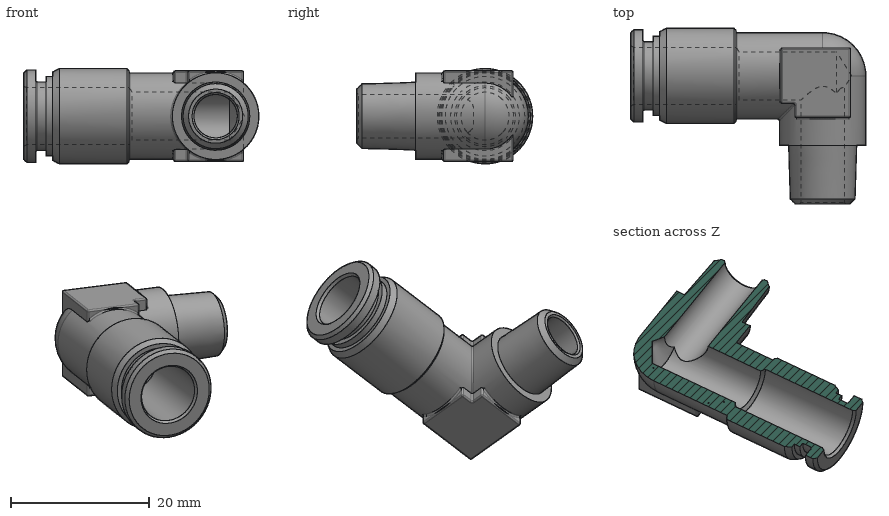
import cadquery as cq
import math


overall_length = 33.95
leg_radius = 6.25
elbow_x = overall_length - leg_radius
edge_radius = 0.25

collar_radius = 6.7
collar_length = 1.75
collar_chamfer_length = 0.48
collar_chamfer_depth = 0.48
neck_radius = 4.95
ring_radius = 5.75
ring_start = 3.25

sleeve_radius = 6.9
sleeve_start = 4.2
sleeve_end = 15.25
sleeve_lead_length = 0.95
sleeve_lead_depth = 0.5
sleeve_end_chamfer = 0.35
sleeve_root_radius = 0.15

total_width = 25.4
spigot_end = total_width - sleeve_radius
leg_end = 10.0
spigot_base_radius = 4.92
spigot_tip_radius = 4.7
spigot_chamfer = 0.78

tube_radius = 4.1
tube_depth = sleeve_end
mouth_chamfer_length = 0.45
mouth_chamfer_depth = 0.27
run_bore_radius = 3.45
run_bore_end = elbow_x + 2.0
drill_half_angle = math.radians(58)
spigot_bore_radius = 3.12
spigot_mouth_chamfer = 0.27

pad_height = 6.55
pad_notch = 4.0
pad_far = 4.05
pad_long = 6.0


def revolve_about_x(points):
    """Solid of revolution about the X axis from (x, radius) points."""
    return cq.Workplane("XY").polyline(points).close().revolve(360, (0, 0, 0), (1, 0, 0))


def revolve_about_spigot(points):
    """Solid of revolution about the spigot axis from (distance towards -Y, radius) points."""
    placed = [(elbow_x + radius, -distance) for distance, radius in points]
    return cq.Workplane("XY").polyline(placed).close().revolve(360, (elbow_x, 0, 0), (elbow_x, 1, 0))


def mirrored(shape):
    """The shape joined with its mirror image across the diagonal between the two legs."""
    turned = (
        shape.translate((-elbow_x, 0, 0))
        .rotate((0, 0, 0), (1, 1, 0), 180)
        .translate((elbow_x, 0, 0))
    )
    return shape.union(turned)


def make_elbow():
    """Two equal legs crossing at a right angle, closed by a ball at the outer corner."""
    run = revolve_about_x([
        (sleeve_end, 0), (sleeve_end, leg_radius), (elbow_x, leg_radius), (elbow_x, 0),
    ])
    branch = revolve_about_spigot([
        (0, 0), (0, leg_radius), (leg_end, leg_radius), (leg_end, 0),
    ])
    ball = cq.Workplane("XY").sphere(leg_radius).translate((elbow_x, 0, 0))
    return run.union(branch).union(ball)


def make_pads():
    """Both notched pads, as one block through the elbow with rounded edges."""
    outline = [
        (-pad_long, pad_far), (pad_far, pad_far), (pad_far, -pad_long),
        (-pad_notch, -pad_long), (-pad_notch, -pad_notch), (-pad_long, -pad_notch),
    ]
    block = cq.Workplane("XY").polyline(outline).close().extrude(pad_height, both=True)
    return block.edges("|Z").fillet(edge_radius).translate((elbow_x, 0, 0))


def make_pad_roots():
    """Concave rounds where the two outer pad faces stand on the legs."""
    pad_face = elbow_x - pad_long
    root_top = leg_radius + edge_radius
    ring = (
        cq.Workplane("XY")
        .moveTo(pad_face - edge_radius, leg_radius)
        .radiusArc((pad_face, root_top), -edge_radius)
        .lineTo(pad_face, leg_radius - edge_radius)
        .lineTo(pad_face - edge_radius, leg_radius - edge_radius)
        .close()
        .revolve(360, (0, 0, 0), (1, 0, 0))
    )
    root_width = 2 * (pad_notch - edge_radius)
    straight_part = cq.Workplane("XY").box(2 * elbow_x, root_width, 2 * root_top)
    return mirrored(ring.intersect(straight_part))


def make_elbow_with_pads():
    """Elbow and pads, with the sharp inner corner and the pad tops rounded."""
    body = make_elbow().union(make_pads())
    body = body.edges("%ELLIPSE").fillet(edge_radius)
    body = body.faces("<Z or >Z").edges().fillet(edge_radius)
    return body.union(make_pad_roots())


def make_socket():
    """Sleeve, ring, neck and release collar of the tube socket, as one turned solid."""
    sleeve_end_radius = sleeve_radius - sleeve_end_chamfer
    profile = (
        cq.Workplane("XY")
        .moveTo(0, 0)
        .lineTo(0, collar_radius - collar_chamfer_depth)
        .lineTo(collar_chamfer_length, collar_radius)
        .lineTo(collar_length, collar_radius)
        .lineTo(collar_length, neck_radius + edge_radius)
        .radiusArc((collar_length + edge_radius, neck_radius), -edge_radius)
        .lineTo(ring_start, neck_radius)
        .lineTo(ring_start, ring_radius)
        .lineTo(sleeve_start, ring_radius)
        .lineTo(sleeve_start, sleeve_radius - sleeve_lead_depth)
        .lineTo(sleeve_start + sleeve_lead_length, sleeve_radius)
        .lineTo(sleeve_end - sleeve_end_chamfer, sleeve_radius)
        .lineTo(sleeve_end, sleeve_end_radius)
        .lineTo(sleeve_end, leg_radius + sleeve_root_radius)
        .radiusArc((sleeve_end + sleeve_root_radius, leg_radius), -sleeve_root_radius)
        .lineTo(sleeve_end + sleeve_root_radius, 0)
        .close()
    )
    return profile.revolve(360, (0, 0, 0), (1, 0, 0))


def make_spigot():
    """Slightly tapered spigot with a chamfered tip."""
    return revolve_about_spigot([
        (0, 0),
        (0, spigot_base_radius),
        (leg_end, spigot_base_radius),
        (spigot_end - spigot_chamfer, spigot_tip_radius),
        (spigot_end, spigot_tip_radius - spigot_chamfer),
        (spigot_end, 0),
    ])


def make_run_bore():
    """Tube bore with a chamfered mouth, then a narrower bore ending in a drill point."""
    shoulder_length = (tube_radius - run_bore_radius) / math.tan(drill_half_angle)
    point_length = run_bore_radius / math.tan(drill_half_angle)
    return revolve_about_x([
        (0, 0),
        (0, tube_radius + mouth_chamfer_depth),
        (mouth_chamfer_length, tube_radius),
        (tube_depth, tube_radius),
        (tube_depth + shoulder_length, run_bore_radius),
        (run_bore_end, run_bore_radius),
        (run_bore_end + point_length, 0),
    ])


def make_spigot_bore():
    """Straight bore from the spigot tip to the run bore, with a chamfered mouth."""
    return revolve_about_spigot([
        (0, 0),
        (0, spigot_bore_radius),
        (spigot_end - spigot_mouth_chamfer, spigot_bore_radius),
        (spigot_end, spigot_bore_radius + spigot_mouth_chamfer),
        (spigot_end, 0),
    ])


outside = make_elbow_with_pads().union(make_socket()).union(make_spigot())
result = outside.cut(make_run_bore()).cut(make_spigot_bore())